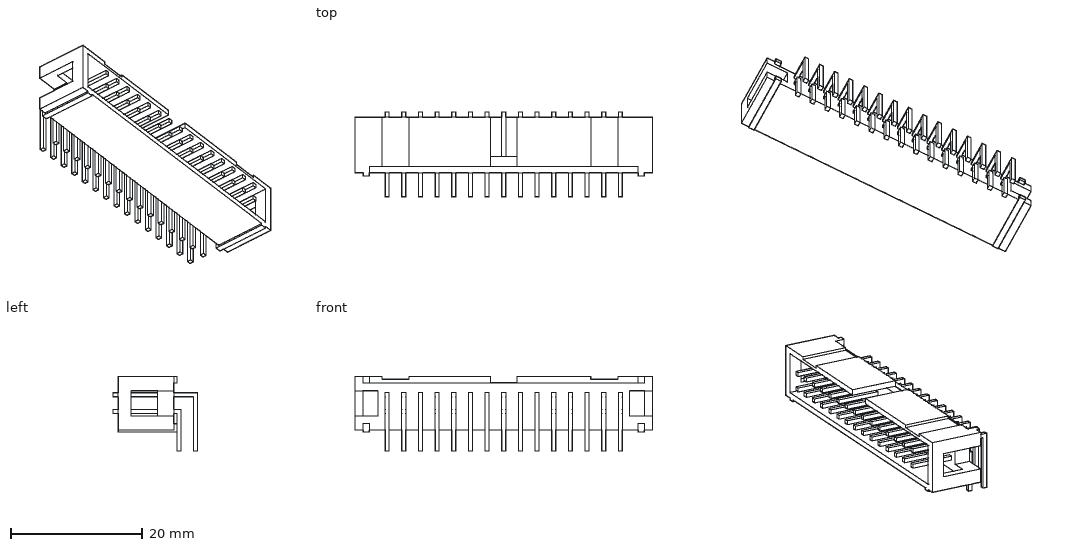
import cadquery as cq


body_length = 45.4
body_depth = 8.5
body_height = 8.2
base_depth = 2.5
end_wall = 1.25
cavity_wall = 0.9

window_height = 3.8
window_depth = 6.5
base_notch = 3.5

key_width = 4.0
recess_width = 4.1
recess_depth = 0.42
left_recess_inset = 4.15
right_recess_inset = 5.3
ledge_depth = 1.0
ledge_drop = 1.0

lug_inset = end_wall
lug_width = 0.95
lug_reach = 0.5
lower_lug_height = 1.3
rib_drop = 0.3

pitch = 2.54
columns = 15
rows = 2
pin_size = 0.64
pin_tail = 0.8
leg_bottom = -3.2
lower_row_z = 2.86
lower_leg_y = -0.78

half_length = body_length / 2
ledge_length = body_length - 2 * (lug_inset + lug_width)


def box(x_range, y_range, z_range):
    """Axis-aligned block from (low, high) pairs."""
    (x0, x1), (y0, y1), (z0, z1) = x_range, y_range, z_range
    return cq.Workplane("XY").box(x1 - x0, y1 - y0, z1 - z0, centered=False).translate((x0, y0, z0))


def centred(width):
    """Range of the given width about X = 0."""
    return (-width / 2, width / 2)


def housing():
    """Shell with a cavity open at the back and a window through each end."""
    shell = box(centred(body_length), (0, body_depth), (0, body_height))
    cavity = box(
        centred(body_length - 2 * end_wall),
        (base_depth, body_depth),
        (cavity_wall, body_height - cavity_wall),
    )
    shell = shell.cut(cavity)
    window_bottom = (body_height - window_height) / 2
    window_z = (window_bottom, window_bottom + window_height)
    for x_range in ((-half_length, base_notch - half_length), (half_length - base_notch, half_length)):
        shell = shell.cut(box(x_range, (0, window_depth), window_z))
    return shell


def top_cuts():
    """Front ledge, polarising key slot and two shallow recesses in the top face."""
    ledge = box(centred(ledge_length), (0, ledge_depth), (body_height - ledge_drop, body_height))
    key_slot = box(centred(key_width), (0, body_depth), (body_height - cavity_wall, body_height))
    cuts = ledge.union(key_slot)
    left_start = left_recess_inset - half_length
    right_start = half_length - right_recess_inset - recess_width
    for start in (left_start, right_start):
        cuts = cuts.union(
            box((start, start + recess_width), (0, body_depth), (body_height - recess_depth, body_height))
        )
    return cuts


def lugs(x):
    """Upper and lower front lugs centred at x; the lower one continues as a rib under the housing."""
    x_range = (x - lug_width / 2, x + lug_width / 2)
    upper = box(x_range, (-lug_reach, 0), (body_height - ledge_drop, body_height))
    lower = box(x_range, (-lug_reach, 0), (-rib_drop, lower_lug_height - rib_drop))
    rib = box(x_range, (0, body_depth), (-rib_drop, 0))
    return upper, lower.union(rib)


def pin(x, row):
    """One bent pin; row 0 is the lower row, row 1 the upper row with the farther leg."""
    half = pin_size / 2
    z = lower_row_z + row * pitch
    leg_y = lower_leg_y - row * pitch
    x_range = (x - half, x + half)
    bar = box(x_range, (leg_y - half, body_depth + pin_tail), (z - half, z + half))
    leg = box(x_range, (leg_y - half, leg_y + half), (leg_bottom, z + half))
    return bar.union(leg)


result = housing().cut(top_cuts())
lug_centre = half_length - lug_inset - lug_width / 2
for lug_x in (-lug_centre, lug_centre):
    for lug in lugs(lug_x):
        result = result.union(lug)
first_column_x = -(columns - 1) * pitch / 2
for column in range(columns):
    for row in range(rows):
        result = result.union(pin(first_column_x + column * pitch, row))